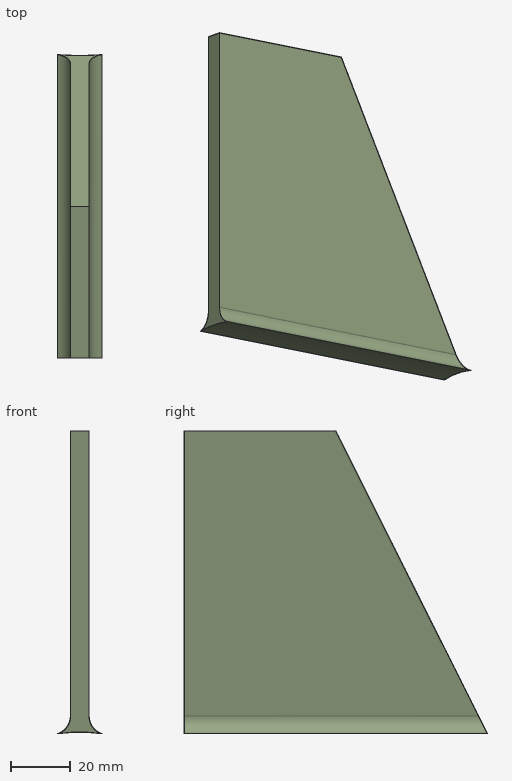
import cadquery as cq
import math

foot_width = 14.9
foot_length = 101.4
height = 101.2
top_length = 50.7

plate_thickness = 6.3
flare_radius = 6.2
underside_sag = 0.5

half_foot = foot_width / 2
half_plate = plate_thickness / 2

flare_center_x = half_plate + flare_radius
flare_height = math.sqrt(flare_radius**2 - (flare_center_x - half_foot) ** 2)


def flare_middle(side):
    """Point halfway along the flare arc; side is -1 or +1 in X."""
    sweep = math.asin(flare_height / flare_radius)
    drop = flare_radius * math.sin(sweep / 2)
    inset = flare_radius * math.cos(sweep / 2)
    return side * (flare_center_x - inset), flare_height - drop


def flared_plate():
    """Plate with a flared foot and a slightly hollow underside, extruded along Y."""
    section = (
        cq.Workplane("XZ")
        .moveTo(-half_foot, 0)
        .threePointArc((0, underside_sag), (half_foot, 0))
        .threePointArc(flare_middle(1), (half_plate, flare_height))
        .lineTo(half_plate, height)
        .lineTo(-half_plate, height)
        .lineTo(-half_plate, flare_height)
        .threePointArc(flare_middle(-1), (-half_foot, 0))
        .close()
    )
    return section.extrude(-foot_length)


def side_profile():
    """Side outline: upright front edge and sloping back edge."""
    outline = [(0, 0), (foot_length, 0), (top_length, height), (0, height)]
    return cq.Workplane("YZ").polyline(outline).close().extrude(half_foot, both=True)


result = flared_plate().intersect(side_profile())